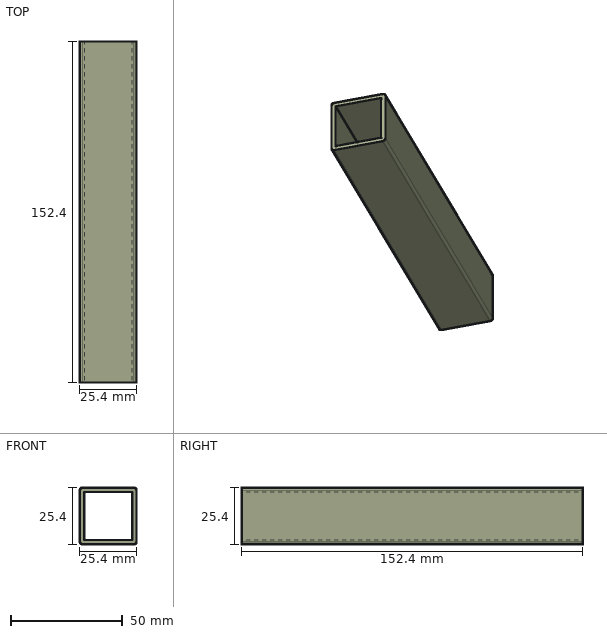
import cadquery as cq

outer_width = 25.4
length = 152.4
wall = 2.032
corner_radius = 1.27

inner_width = outer_width - 2 * wall


def square_bar(width):
    """Solid square bar centred on the origin with its length along Y."""
    return cq.Workplane("XY").box(width, length, width)


outer_bar = square_bar(outer_width).edges("|Y").fillet(corner_radius)
result = outer_bar.cut(square_bar(inner_width))